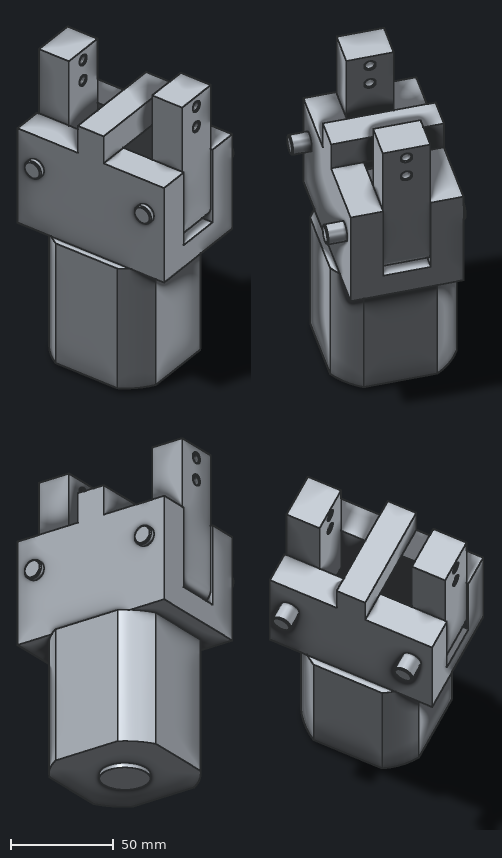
import cadquery as cq

base_width = 64.0
base_corner_diameter = 74.0
base_height = 71.0
spigot_diameter = 25.0
spigot_height = 2.5

block_length = 88.0
block_width = 57.0
block_height = 56.0
ridge_length = 15.5
ridge_height = 16.0
slot_floor_height = 13.0

jaw_thickness = 18.0
jaw_width = 24.0
jaw_outer_x = 43.0
jaw_gap = 1.0
jaw_corner_radius = 8.0
jaw_screw_diameter = 4.92
jaw_screw_mouth_diameter = 6.02
jaw_screw_count = 2
jaw_screw_pitch = 12.0
jaw_screw_top_offset = 6.0

pin_diameter = 10.0
pin_x = 33.0
pin_depth = 19.0
pin_front_y = -31.5
pin_back_y = 38.5
pin_chamfer = 0.6

total_height = 167.5
base_top = spigot_height + base_height
block_top = base_top + block_height
slot_floor = base_top + slot_floor_height
pin_z = block_top - pin_depth

jaw_bottom = slot_floor + jaw_gap
jaw_center_x = jaw_outer_x - jaw_thickness / 2
jaw_height = total_height - jaw_bottom
slot_height = block_top - slot_floor
pin_length = pin_back_y - pin_front_y


def make_base():
    """Square cylinder housing with corners cut by a coaxial circle, plus its spigot."""
    square = cq.Workplane("XY").box(base_width, base_width, base_height, centered=(True, True, False))
    round_bar = cq.Workplane("XY").circle(base_corner_diameter / 2).extrude(base_height)
    body = square.intersect(round_bar).translate((0, 0, spigot_height))
    spigot = cq.Workplane("XY").circle(spigot_diameter / 2).extrude(spigot_height)
    return body.union(spigot)


def make_block():
    """Jaw block with an open-topped slot along X and a ridge bridging the slot."""
    block = cq.Workplane("XY").box(block_length, block_width, block_height, centered=(True, True, False))
    slot = cq.Workplane("XY").box(block_length, jaw_width, slot_height, centered=(True, True, False))
    ridge = cq.Workplane("XY").box(ridge_length, block_width, ridge_height, centered=(True, True, False))
    block = block.translate((0, 0, base_top)).cut(slot.translate((0, 0, slot_floor)))
    return block.union(ridge.translate((0, 0, block_top)))


def make_pin(side):
    """Pivot pin with chamfered ends, lying along Y."""
    pin = cq.Workplane("XZ").circle(pin_diameter / 2).extrude(-pin_length)
    pin = pin.faces("<Y or >Y").chamfer(pin_chamfer)
    return pin.translate((side * pin_x, pin_front_y, pin_z))


def make_screw_hole():
    """Tool for one cross hole along X, widened at both mouths by a 45 degree countersink."""
    hole_radius = jaw_screw_diameter / 2
    mouth_radius = jaw_screw_mouth_diameter / 2
    half_length = jaw_thickness / 2
    straight_half = half_length - (mouth_radius - hole_radius)
    half_section = [
        (-half_length, 0),
        (-half_length, mouth_radius),
        (-straight_half, hole_radius),
        (straight_half, hole_radius),
        (half_length, mouth_radius),
        (half_length, 0),
    ]
    return cq.Workplane("XY").polyline(half_section).close().revolve(360, (0, 0), (1, 0))


def make_jaw(side):
    """Upright jaw with rounded lower edges and cross holes, in one piece with its pivot pin."""
    jaw = cq.Workplane("XY").box(jaw_thickness, jaw_width, jaw_height, centered=(True, True, False))
    jaw = jaw.faces("<Z").edges("|Y").fillet(jaw_corner_radius).translate((0, 0, jaw_bottom))
    for index in range(jaw_screw_count):
        hole_z = total_height - jaw_screw_top_offset - index * jaw_screw_pitch
        jaw = jaw.cut(make_screw_hole().translate((0, 0, hole_z)))
    return jaw.translate((side * jaw_center_x, 0, 0)).union(make_pin(side))


housing = make_base().union(make_block())
jaws = []
for side in (-1, 1):
    housing = housing.cut(make_pin(side))
    jaws.append(make_jaw(side))

result = cq.Compound.makeCompound([housing.val()] + [jaw.val() for jaw in jaws])